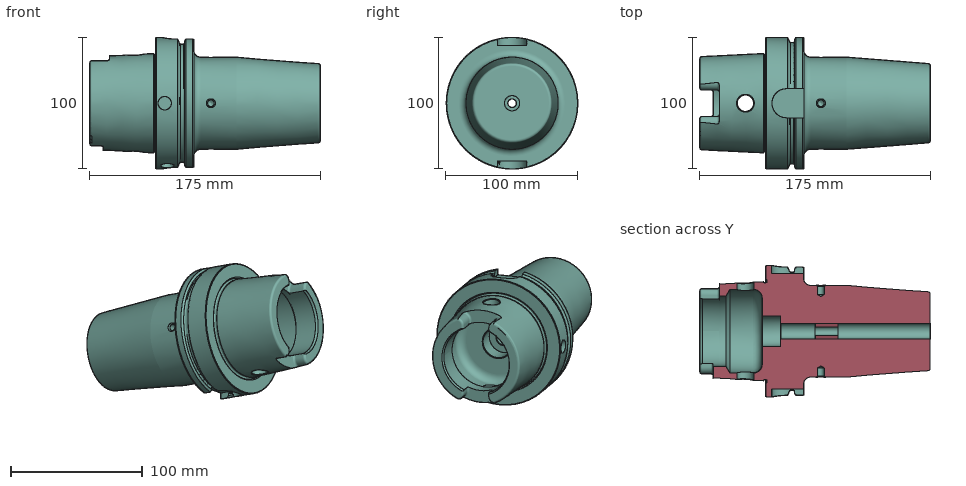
import cadquery as cq
import math

SHANK_LENGTH = 50.0
SHANK_END_RADIUS = 35.4
SHANK_TAPER = 0.05
END_ROUNDING = 1.8

RELIEF_LIP_START = 47.2
RELIEF_START = 48.3
RELIEF_DEPTH = 0.7
RELIEF_FACE_DEPTH = 0.9
RELIEF_RADIUS = 38.7
RELIEF_CHAMFER = 0.9
RELIEF_FILLET = 0.9

CAVITY_RADIUS = 26.5
CAVITY_CHAMFER = 0.9
CAVITY_CHAMFER_LENGTH = 2.0
CAVITY_FILLET = 6.5
CAVITY_DEPTH = 47.2
UNDERCUT_START = 20.0
UNDERCUT_RADIUS = 31.5
UNDERCUT_ANGLE = 30.0

KEY_HALF_WIDTH = 10.0
KEY_LEDGE = 32.4
KEY_CORNER_RADIUS = 5.2
KEY_FLOOR_FILLET = 1.5
KEY_DISC_SIZE = 1.5
KEY_SLOT_INNER_REACH = 0.8
KEY_DEPTH_TOP = 14.9
KEY_DEPTH_BOTTOM = 10.2

CLAMP_HOLE_X = 34.6
CLAMP_HOLE_DIAMETER = 12.5
CLAMP_HOLE_CHAMFER = 0.5
CLAMP_MOUTH_REACH = 0.6

OUTER_DIAMETER = 100.0
FLANGE_RADIUS = OUTER_DIAMETER / 2
FLANGE_END = 79.0
FLANGE_FRONT_CHAMFER = 0.5
FLANGE_BACK_CHAMFER = 1.0
FLANGE_BACK_CHAMFER_DROP = 0.4
GROOVE_RADIUS = 46.2
GROOVE_FILLET = 0.7
GROOVE_LEFT_TOP = 66.7
GROOVE_LEFT_FLOOR = 68.5
GROOVE_RIGHT_FLOOR = 71.8
GROOVE_RIGHT_TOP = 73.0
GROOVE_RIGHT_CHAMFER_DROP = 1.8

FLANGE_SLOT_START = 54.8
FLANGE_SLOT_HALF_WIDTH = 11.0
FLANGE_SLOT_FLOOR = 44.0

POCKET_DIAMETER = 10.2
POCKET_DEPTH = 4.5
CHIP_POCKET_X = 56.9
BALANCE_POCKET_X = 59.0
BALANCE_POCKET_ANGLE = 72.0

TOTAL_LENGTH = 175.0
NECK_RADIUS = 35.0
NECK_FILLET = 5.2
NOSE_TAPER_START = 111.6
NOSE_ANGLE = 4.5
NOSE_ROUNDING = 2.1

THREADED_HOLE_X = 91.9
THREADED_HOLE_DIAMETER = 4.9
THREADED_HOLE_MOUTH = 7.0
THREADED_HOLE_DEPTH = 7.0
DRILL_TIP_ANGLE = 118.0

COOLANT_RADIUS = 11.5
COOLANT_CHAMFER = 0.5
COOLANT_DEPTH = 14.0
PASSAGE_RADIUS = 5.8
PASSAGE_CHAMFER = 0.4
SCREW_START = 87.5
SCREW_LENGTH = 17.5
SCREW_BORE_RADIUS = 3.2


def shank_radius(x):
    return SHANK_END_RADIUS + SHANK_TAPER * x


def revolve_about_x(profile):
    return profile.close().revolve(360, (0, 0, 0), (1, 0, 0))


def outer_body():
    lip_radius = shank_radius(RELIEF_LIP_START)
    relief_floor = lip_radius - RELIEF_DEPTH
    relief_end = SHANK_LENGTH + RELIEF_FACE_DEPTH
    nose_length = TOTAL_LENGTH - NOSE_TAPER_START
    nose_end_radius = NECK_RADIUS - nose_length * math.tan(math.radians(NOSE_ANGLE))
    profile = (
        cq.Workplane("XY")
        .lineTo(0, SHANK_END_RADIUS)
        .lineTo(RELIEF_LIP_START, lip_radius)
        .lineTo(RELIEF_START, lip_radius)
        .lineTo(RELIEF_START + RELIEF_DEPTH, relief_floor)
        .lineTo(relief_end - RELIEF_FILLET, relief_floor)
        .radiusArc((relief_end, relief_floor + RELIEF_FILLET), -RELIEF_FILLET)
        .lineTo(relief_end, RELIEF_RADIUS)
        .lineTo(SHANK_LENGTH, RELIEF_RADIUS + RELIEF_CHAMFER)
        .lineTo(SHANK_LENGTH, FLANGE_RADIUS - FLANGE_FRONT_CHAMFER)
        .lineTo(SHANK_LENGTH + FLANGE_FRONT_CHAMFER, FLANGE_RADIUS)
        .lineTo(GROOVE_LEFT_TOP, FLANGE_RADIUS)
        .lineTo(GROOVE_LEFT_FLOOR, GROOVE_RADIUS)
        .lineTo(GROOVE_RIGHT_FLOOR, GROOVE_RADIUS)
        .lineTo(GROOVE_RIGHT_FLOOR, FLANGE_RADIUS - GROOVE_RIGHT_CHAMFER_DROP)
        .lineTo(GROOVE_RIGHT_TOP, FLANGE_RADIUS)
        .lineTo(FLANGE_END - FLANGE_BACK_CHAMFER, FLANGE_RADIUS)
        .lineTo(FLANGE_END, FLANGE_RADIUS - FLANGE_BACK_CHAMFER_DROP)
        .lineTo(FLANGE_END, NECK_RADIUS + NECK_FILLET)
        .radiusArc((FLANGE_END + NECK_FILLET, NECK_RADIUS), -NECK_FILLET)
        .lineTo(NOSE_TAPER_START, NECK_RADIUS)
        .lineTo(TOTAL_LENGTH, nose_end_radius)
        .lineTo(TOTAL_LENGTH, 0)
    )
    body = revolve_about_x(profile)
    body = body.faces("<X").edges().fillet(END_ROUNDING)
    body = body.faces(">X").edges().fillet(NOSE_ROUNDING)
    groove_corners = body.edges().filter(
        lambda edge: edge.geomType() == "CIRCLE" and abs(edge.radius() - GROOVE_RADIUS) < GROOVE_FILLET / 2
    )
    return groove_corners.fillet(GROOVE_FILLET)


def key_slot_cutter(depth):
    """Slot in the +Z wall, with rounded corners that run out into a flat ledge on each side."""
    inner = KEY_SLOT_INNER_REACH * CAVITY_RADIUS
    side = 2 * SHANK_END_RADIUS
    arc_start = KEY_LEDGE - KEY_CORNER_RADIUS
    arc_end = KEY_HALF_WIDTH + KEY_CORNER_RADIUS
    cutter = (
        cq.Workplane("YZ")
        .moveTo(-KEY_HALF_WIDTH, inner)
        .lineTo(KEY_HALF_WIDTH, inner)
        .lineTo(KEY_HALF_WIDTH, arc_start)
        .radiusArc((arc_end, KEY_LEDGE), KEY_CORNER_RADIUS)
        .lineTo(side, KEY_LEDGE)
        .lineTo(side, side)
        .lineTo(-side, side)
        .lineTo(-side, KEY_LEDGE)
        .lineTo(-arc_end, KEY_LEDGE)
        .radiusArc((-KEY_HALF_WIDTH, arc_start), KEY_CORNER_RADIUS)
        .close()
        .extrude(depth)
    )
    wall_edges = cutter.faces(">X").edges("not(<Z or >Z or <Y or >Y)")
    return wall_edges.fillet(KEY_FLOOR_FILLET)


def key_slots_cutter():
    """Both key slots, flared at X = 0 so that they leave rounded edges on the end of the shank."""
    disc_radius = KEY_DISC_SIZE * SHANK_END_RADIUS
    disc = cq.Workplane("YZ").circle(disc_radius).extrude(KEY_DEPTH_TOP)
    bottom_slot = key_slot_cutter(KEY_DEPTH_BOTTOM).rotate((0, 0, 0), (1, 0, 0), 180)
    lands = (
        disc.cut(cq.Workplane("YZ").circle(CAVITY_RADIUS).extrude(KEY_DEPTH_TOP))
        .cut(key_slot_cutter(KEY_DEPTH_TOP))
        .cut(bottom_slot)
    )
    slot_edges = lands.faces("<X").edges().filter(
        lambda edge: edge.geomType() == "LINE" or edge.radius() < CAVITY_RADIUS / 2
    )
    return disc.cut(slot_edges.fillet(END_ROUNDING))


def drill_clamp_hole(body):
    """Drill along Z through the whole shank and break both mouth edges."""
    drill = (
        cq.Workplane("XY", origin=(CLAMP_HOLE_X, 0, 0))
        .circle(CLAMP_HOLE_DIAMETER / 2)
        .extrude(FLANGE_RADIUS, both=True)
    )
    drilled = body.cut(drill)
    reach = CLAMP_MOUTH_REACH * CLAMP_HOLE_DIAMETER
    mouths = cq.selectors.BoxSelector(
        (CLAMP_HOLE_X - reach, -reach, -FLANGE_RADIUS), (CLAMP_HOLE_X + reach, reach, FLANGE_RADIUS), True
    )
    mouth_edges = drilled.edges(mouths).filter(lambda edge: edge.geomType() != "LINE")
    return mouth_edges.chamfer(CLAMP_HOLE_CHAMFER)


def cavity_cutter():
    """Undercut cavity, coolant bore and the axial passage that runs out through the nose."""
    coolant_end = CAVITY_DEPTH + COOLANT_DEPTH
    flank_rise = UNDERCUT_RADIUS - CAVITY_RADIUS
    flank_end = UNDERCUT_START + flank_rise * math.tan(math.radians(UNDERCUT_ANGLE))
    fillet_start = CAVITY_DEPTH - CAVITY_FILLET
    return revolve_about_x(
        cq.Workplane("XY")
        .lineTo(0, CAVITY_RADIUS)
        .lineTo(UNDERCUT_START, CAVITY_RADIUS)
        .lineTo(flank_end, UNDERCUT_RADIUS)
        .lineTo(fillet_start, UNDERCUT_RADIUS)
        .radiusArc((CAVITY_DEPTH, UNDERCUT_RADIUS - CAVITY_FILLET), CAVITY_FILLET)
        .lineTo(CAVITY_DEPTH, COOLANT_RADIUS + COOLANT_CHAMFER)
        .lineTo(CAVITY_DEPTH + COOLANT_CHAMFER, COOLANT_RADIUS)
        .lineTo(coolant_end, COOLANT_RADIUS)
        .lineTo(coolant_end, PASSAGE_RADIUS + PASSAGE_CHAMFER)
        .lineTo(coolant_end + PASSAGE_CHAMFER, PASSAGE_RADIUS)
        .lineTo(TOTAL_LENGTH, PASSAGE_RADIUS)
        .lineTo(TOTAL_LENGTH, 0)
    )


def cavity_mouth_chamfer():
    return cq.Workplane("XY").add(
        cq.Solid.makeCone(
            CAVITY_RADIUS + CAVITY_CHAMFER,
            CAVITY_RADIUS,
            CAVITY_CHAMFER_LENGTH,
            cq.Vector(0, 0, 0),
            cq.Vector(1, 0, 0),
        )
    )


def flange_slot_cutter():
    """Slot in the +Z rim with a half-round end, open towards the nose."""
    round_center = FLANGE_SLOT_START + FLANGE_SLOT_HALF_WIDTH
    return (
        cq.Workplane("XY", origin=(0, 0, FLANGE_SLOT_FLOOR))
        .moveTo(FLANGE_END, -FLANGE_SLOT_HALF_WIDTH)
        .lineTo(FLANGE_END, FLANGE_SLOT_HALF_WIDTH)
        .lineTo(round_center, FLANGE_SLOT_HALF_WIDTH)
        .threePointArc((FLANGE_SLOT_START, 0), (round_center, -FLANGE_SLOT_HALF_WIDTH))
        .close()
        .extrude(FLANGE_RADIUS)
    )


def pocket_cutter(x, angle):
    """Flat-bottomed round pocket in the rim, turned from -Y towards -Z by the angle."""
    pocket = (
        cq.Workplane("XZ", origin=(x, -(FLANGE_RADIUS - POCKET_DEPTH), 0))
        .circle(POCKET_DIAMETER / 2)
        .extrude(2 * POCKET_DEPTH)
    )
    return pocket.rotate((0, 0, 0), (1, 0, 0), angle)


def threaded_hole_cutter():
    """Countersunk blind hole with a drill point, entering the neck from +Z."""
    radius = THREADED_HOLE_DIAMETER / 2
    mouth = THREADED_HOLE_MOUTH / 2
    floor = NECK_RADIUS - THREADED_HOLE_DEPTH
    tip = floor - radius / math.tan(math.radians(DRILL_TIP_ANGLE / 2))
    chamfer = mouth - radius
    return (
        cq.Workplane("XZ")
        .moveTo(0, tip)
        .lineTo(radius, floor)
        .lineTo(radius, NECK_RADIUS - chamfer)
        .lineTo(mouth, NECK_RADIUS)
        .lineTo(mouth, FLANGE_RADIUS)
        .lineTo(0, FLANGE_RADIUS)
        .close()
        .revolve(360, (0, 0, 0), (0, 1, 0))
        .translate((THREADED_HOLE_X, 0, 0))
    )


def make_holder():
    body = drill_clamp_hole(outer_body())
    body = body.cut(key_slots_cutter()).cut(cavity_cutter())
    body = body.cut(cavity_mouth_chamfer())
    for turn in (0, 180):
        body = body.cut(flange_slot_cutter().rotate((0, 0, 0), (1, 0, 0), turn))
    body = body.cut(pocket_cutter(CHIP_POCKET_X, 0))
    body = body.cut(pocket_cutter(BALANCE_POCKET_X, BALANCE_POCKET_ANGLE))
    for turn in range(0, 360, 90):
        body = body.cut(threaded_hole_cutter().rotate((0, 0, 0), (1, 0, 0), turn))
    return body


def make_stop_screw():
    """Tubular screw that fills the axial passage over its length."""
    return (
        cq.Workplane("YZ", origin=(SCREW_START, 0, 0))
        .circle(PASSAGE_RADIUS)
        .circle(SCREW_BORE_RADIUS)
        .extrude(SCREW_LENGTH)
    )


holder = make_holder()
stop_screw = make_stop_screw()

result = cq.Compound.makeCompound([holder.val(), stop_screw.val()])